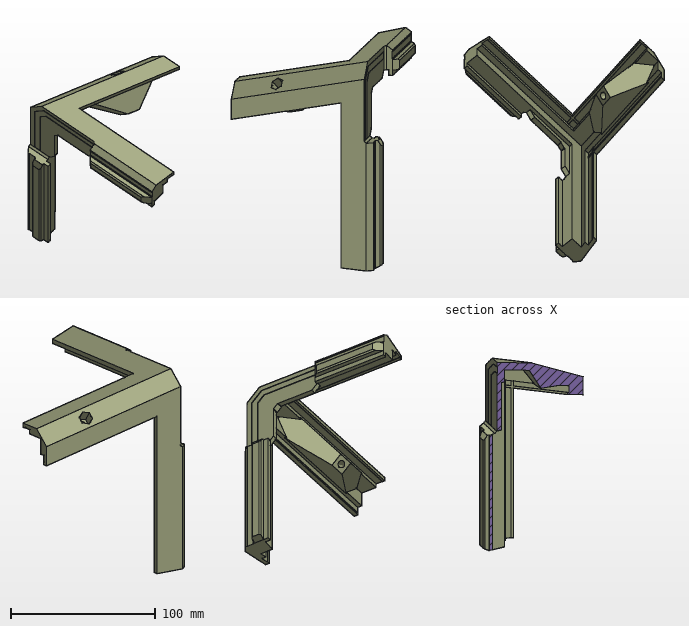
import cadquery as cq
import math


total_x = 114.5
total_z = 147.0
back_end = 101.2
shear = 0.256
corner_cut = 10.3

lip_thickness = 3.2
wall = 6.2
lip_overhang = 6.9
bead_width = 1.8
back_arm_width = 24.7
arm_depth = 17.8
arm_width = 17.0

x_elbow_end = 57.2
z_elbow_end = 54.3
plate_width = 21.6
plate_thickness = 3.7
plate_end_cut = plate_width - arm_width
plate_corner_cut = 3.2
groove_near = 3.8
groove_far = 8.7
groove_depth = 0.3

neck_height = 1.5
rail_front = -5.9
rail_edge = 2.6
flange_width = 20.9
flange_back = -3.1
tongue_front = -10.0
tongue_near = 9.5
tongue_bevel = 1.0
tongue_start_run = 3.8
x_tongue_shoulder = rail_front
z_tongue_shoulder = -7.4
x_tongue_end_run = 6.5
z_tongue_end_run = 2.5

neck_edge = -shear * neck_height
x_arm_length = total_x + neck_edge
z_arm_length = total_z + neck_edge

boss_y = 67.8
boss_length = 28.7
boss_root = 1.5
tip_size = 10.0
side_spread = 0.2
front_spread = 1.6
back_spread = 0.95
screw_diameter = 5.0
nut_corners = 9.4
nut_depth = 14.0

slant = cq.Vector(shear, 1, -shear)


def prism(points, vector):
    """Sweep a closed 3D polygon along a vector."""
    outline = cq.Wire.makePolygon([cq.Vector(*p) for p in points], close=True)
    return cq.Workplane(cq.Solid.extrudeLinear(outline, [], vector))


def on_x_arm(along, y, across):
    return cq.Vector(along, y, -across)


def on_z_arm(along, y, across):
    return cq.Vector(across, y, -along)


def slanted_prism(points, y_start, y_end):
    """Sweep an (x, depth) outline, given at y = 0, between two y planes along the slant."""
    shift = shear * y_start
    corners = [(x + shift, y_start, -depth - shift) for x, depth in points]
    return prism(corners, slant * (y_end - y_start))


def chamfered_corner(offset, x_end, z_end):
    """Line that follows the outer edge at a constant inward offset, from the Z to the X arm."""
    turn = corner_cut + offset * math.tan(math.pi / 8)
    return [(offset, z_end), (offset, turn), (turn, offset), (x_end, offset)]


def arm_prism(place, section, start, end):
    """Sweep a (y, across) section along an arm."""
    corners = [place(start, y, across) for y, across in section]
    return prism(corners, place(end - start, 0, 0))


def back_arm():
    step = back_arm_width - lip_overhang
    bead = back_arm_width - bead_width
    half = [
        (corner_cut, 0),
        (back_arm_width, 0),
        (back_arm_width, lip_thickness),
        (bead, lip_thickness),
        (bead, lip_thickness - groove_depth),
        (step, lip_thickness - groove_depth),
        (step, wall),
    ]
    other_half = [(depth, x) for x, depth in reversed(half)]
    return slanted_prism(half + [(wall, wall)] + other_half, 0, back_end)


def elbow_plate():
    outline = chamfered_corner(0, x_elbow_end, z_elbow_end) + [
        (x_elbow_end, arm_width),
        (x_elbow_end - plate_end_cut, plate_width),
        (plate_width, plate_width),
        (plate_width, z_elbow_end - plate_end_cut),
        (arm_width, z_elbow_end),
    ]
    plate = prism([(x, 0, -depth) for x, depth in outline], (0, plate_thickness, 0))
    cut_end = plate_width + plate_corner_cut
    web_outline = [
        (wall, wall),
        (cut_end, wall),
        (cut_end, plate_width),
        (plate_width, cut_end),
        (wall, cut_end),
    ]
    return plate.union(slanted_prism(web_outline, 0, plate_thickness))


def elbow_groove():
    near = chamfered_corner(groove_near, x_elbow_end, z_elbow_end)
    far = chamfered_corner(groove_far, x_elbow_end, z_elbow_end)
    return slanted_prism(near + far[::-1], 0, groove_depth)


def arm_body(place, length):
    step = arm_depth - lip_overhang
    bead = arm_depth - bead_width
    recess = lip_thickness - groove_depth
    section = [
        (0, 0),
        (arm_depth, shear * arm_depth),
        (arm_depth, shear * arm_depth + lip_thickness),
        (bead, shear * bead + lip_thickness),
        (bead, shear * bead + recess),
        (step, shear * step + recess),
        (step, shear * step + wall),
        (wall, shear * wall + wall),
        (wall, arm_width),
        (0, arm_width),
    ]
    return arm_prism(place, section, 0, length)


def rail(place, elbow_end, length, tongue_shoulder, tongue_end_run):
    start = elbow_end + neck_height
    section = [
        (0, 0),
        (-neck_height, neck_edge),
        (rail_front, rail_edge),
        (rail_front, groove_near),
        (rail_front + groove_depth, groove_near),
        (rail_front + groove_depth, groove_far),
        (rail_front, groove_far),
        (rail_front, flange_width),
        (flange_back, flange_width),
        (flange_back, arm_width),
        (0, arm_width),
    ]
    neck = [(0, 0), (-neck_height, neck_edge), (-neck_height, arm_width), (0, arm_width)]
    ramp_side = [
        place(elbow_end, 0, neck_edge),
        place(start, -neck_height, neck_edge),
        place(start, 0, neck_edge),
    ]
    ramp = prism(ramp_side, place(0, 0, arm_width - neck_edge))
    ramp = ramp.intersect(arm_prism(place, neck, elbow_end, start))

    tongue_section = [
        (rail_front + groove_depth, tongue_near),
        (tongue_front + tongue_bevel, tongue_near),
        (tongue_front, tongue_near + tongue_bevel),
        (tongue_front, arm_width - tongue_bevel),
        (tongue_front + tongue_bevel, arm_width),
        (rail_front + groove_depth, arm_width),
    ]
    tongue_side = [
        place(start, 0, 0),
        place(start, tongue_shoulder, 0),
        place(start + tongue_start_run, tongue_front, 0),
        place(length - tongue_end_run, tongue_front, 0),
        place(length, rail_front, 0),
        place(length, 0, 0),
    ]
    tongue = arm_prism(place, tongue_section, start, length)
    tongue = tongue.intersect(prism(tongue_side, place(0, 0, flange_width)))
    return arm_prism(place, section, start, length).union(ramp).union(tongue)


reach = 2 * total_z
envelope = slanted_prism(
    chamfered_corner(0, reach, reach) + [(reach, reach)], 2 * tongue_front, back_end
)

face_x = corner_cut / 2 + shear * boss_y
boss_plane = cq.Plane(
    origin=(face_x, boss_y, -face_x), xDir=(1, 0, 1), normal=(1, -2 * shear, -1)
)


def boss():
    def rectangle(plane, depth):
        rise = boss_length - depth
        half_width = tip_size / 2 + side_spread * rise
        front = tip_size / 2 + front_spread * rise
        back = -tip_size / 2 - back_spread * rise
        return plane.polyline(
            [(-half_width, back), (half_width, back), (half_width, front), (-half_width, front)]
        ).close()

    root = rectangle(cq.Workplane(boss_plane).workplane(offset=boss_root), boss_root)
    tip_plane = root.workplane(offset=boss_length - boss_root)
    return rectangle(tip_plane, boss_length).loft(ruled=True, combine=False)


screw_hole = cq.Workplane(boss_plane).circle(screw_diameter / 2).extrude(boss_length)
nut_pocket = cq.Workplane(boss_plane).polygon(6, nut_corners).extrude(nut_depth)

result = (
    back_arm()
    .union(arm_body(on_x_arm, x_arm_length))
    .union(arm_body(on_z_arm, z_arm_length))
    .union(elbow_plate())
    .cut(elbow_groove())
    .union(rail(on_x_arm, x_elbow_end, x_arm_length, x_tongue_shoulder, x_tongue_end_run))
    .union(rail(on_z_arm, z_elbow_end, z_arm_length, z_tongue_shoulder, z_tongue_end_run))
    .union(boss())
    .intersect(envelope)
    .cut(screw_hole)
    .cut(nut_pocket)
)